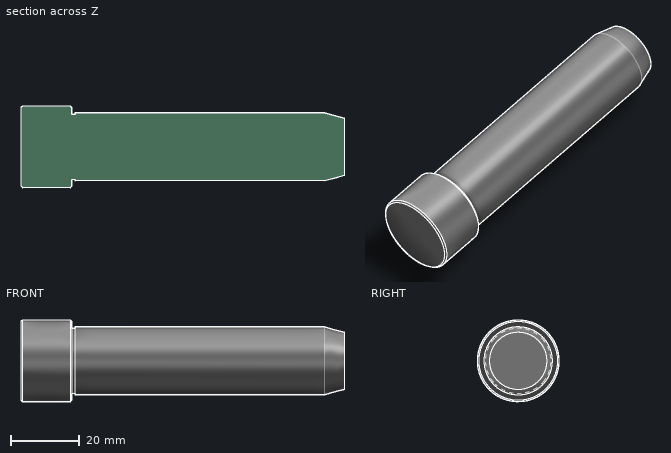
import cadquery as cq

total_length = 95.0
head_diameter = 24.0
head_length = 15.0
head_chamfer = 0.5
shank_diameter = 20.0
neck_diameter = 19.2
neck_length = 0.95
tip_diameter = 16.8
tip_length = 6.0

head_radius = head_diameter / 2
shank_radius = shank_diameter / 2
neck_radius = neck_diameter / 2
tip_radius = tip_diameter / 2
neck_end = head_length + neck_length
taper_start = total_length - tip_length

profile = (
    cq.Workplane("XY")
    .moveTo(0, 0)
    .lineTo(0, head_radius - head_chamfer)
    .lineTo(head_chamfer, head_radius)
    .lineTo(head_length - head_chamfer, head_radius)
    .lineTo(head_length, head_radius - head_chamfer)
    .lineTo(head_length, neck_radius)
    .lineTo(neck_end, neck_radius)
    .lineTo(neck_end, shank_radius)
    .lineTo(taper_start, shank_radius)
    .lineTo(total_length, tip_radius)
    .lineTo(total_length, 0)
    .close()
)
pin = profile.revolve(360, (0, 0, 0), (1, 0, 0))

result = pin.translate((-total_length / 2, 0, 0))